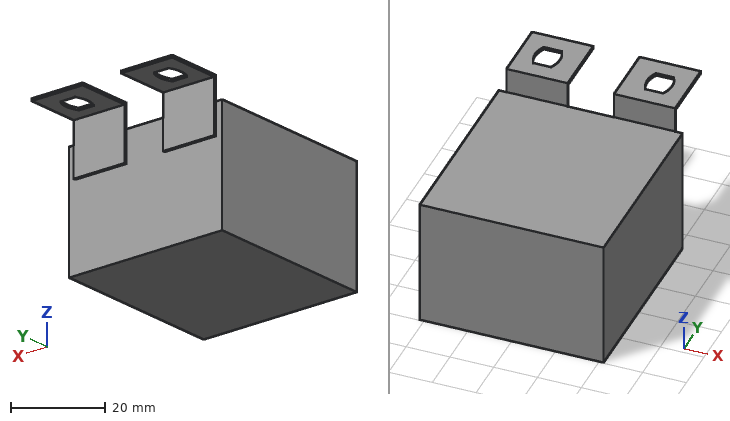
import cadquery as cq

housing_width = 42.0
housing_depth = 45.0
housing_height = 30.0

overall_depth = 59.6
overall_height = 36.0
terminal_width = 14.0
terminal_thickness = 0.6
terminal_side_inset = 1.7
upright_height = 14.0
tab_length = overall_depth - housing_depth
terminal_offset = housing_width / 2 - terminal_side_inset - terminal_width / 2

slot_length = 6.2
slot_end_width = 4.05
slot_middle_width = 5.65
slot_to_tab_end = 7.35
slot_outward_shift = 0.55


def make_housing():
    return cq.Workplane("XY").box(
        housing_width, housing_depth, housing_height, centered=(True, False, False)
    ).translate((0, -housing_depth, 0))


def make_slot_cutter(center_x):
    """Vertical prism with flat ends along Y and sides bowed outwards along X."""
    center_y = tab_length - slot_to_tab_end
    half_length = slot_length / 2
    half_end = slot_end_width / 2
    half_middle = slot_middle_width / 2
    return (
        cq.Workplane("XY", origin=(center_x, center_y, overall_height))
        .moveTo(-half_end, -half_length)
        .lineTo(half_end, -half_length)
        .threePointArc((half_middle, 0), (half_end, half_length))
        .lineTo(-half_end, half_length)
        .threePointArc((-half_middle, 0), (-half_end, -half_length))
        .close()
        .extrude(-terminal_thickness)
    )


def make_terminal(side):
    """L-shaped terminal; side is -1 for the -X terminal and +1 for the +X terminal."""
    center_x = side * terminal_offset
    upright_bottom = overall_height - upright_height
    tab_underside = overall_height - terminal_thickness
    strip = (
        cq.Workplane("YZ", origin=(center_x, 0, 0))
        .moveTo(0, upright_bottom)
        .lineTo(0, overall_height)
        .lineTo(tab_length, overall_height)
        .lineTo(tab_length, tab_underside)
        .lineTo(terminal_thickness, tab_underside)
        .lineTo(terminal_thickness, upright_bottom)
        .close()
        .extrude(terminal_width / 2, both=True)
    )
    slot_x = side * (terminal_offset + slot_outward_shift)
    return strip.cut(make_slot_cutter(slot_x))


housing = make_housing()
terminals = [make_terminal(side) for side in (-1, 1)]

result = cq.Compound.makeCompound([housing.val(), *[terminal.val() for terminal in terminals]])